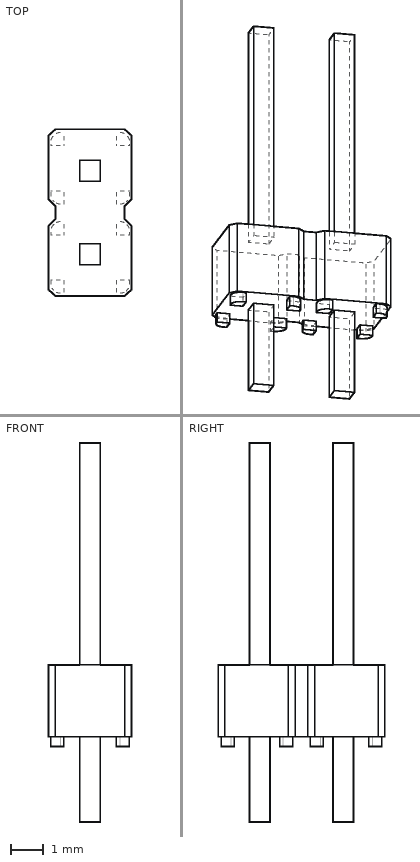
import cadquery as cq

pitch = 2.54
cell_count = 2
body_height = 2.2
chamfer = 0.22
corner_run = 0.2
notch_floor = 0.38

pin_side = 0.64
pin_length = 11.55
pin_tail = 2.6

foot_side = 0.4
foot_radius = 0.3
foot_height = 0.3
foot_reach_x = 1.2
end_foot_reach = 1.18
joint_foot_reach = 1.0

half_width = pitch / 2
half_length = cell_count * pitch / 2
joint_y = 0.0
pin_places = [-pitch / 2, pitch / 2]


def make_notch(side):
    """Trapezoidal groove at the cell joint, on the face at the given X side."""
    half_floor = notch_floor / 2
    half_mouth = half_floor + chamfer
    face_x = side * half_width
    floor_x = side * (half_width - chamfer)
    return (
        cq.Workplane("XY")
        .moveTo(face_x, joint_y - half_mouth)
        .lineTo(floor_x, joint_y - half_floor)
        .lineTo(floor_x, joint_y + half_floor)
        .lineTo(face_x, joint_y + half_mouth)
        .close()
        .extrude(body_height)
    )


def make_body():
    """Block standing on Z = 0 with chamfered corners and a notch on each side."""
    end_half_width = half_width - chamfer
    shoulder_y = half_length - corner_run
    block = (
        cq.Workplane("XY")
        .polyline(
            [
                (-end_half_width, -half_length),
                (end_half_width, -half_length),
                (half_width, -shoulder_y),
                (half_width, shoulder_y),
                (end_half_width, half_length),
                (-end_half_width, half_length),
                (-half_width, shoulder_y),
                (-half_width, -shoulder_y),
            ]
        )
        .close()
        .extrude(body_height)
    )
    for side in (-1, 1):
        block = block.cut(make_notch(side))
    return block


def make_pin(pin_y):
    """Square pin passing through the body."""
    return (
        cq.Workplane("XY", origin=(0, pin_y, -pin_tail))
        .rect(pin_side, pin_side)
        .extrude(pin_length)
    )


def make_foot(pin_y, x_side, y_side):
    """Foot in one quadrant of a cell, rounded at the corner facing away from the pin."""
    beside_joint = y_side * pin_y < 0
    y_reach = joint_foot_reach if beside_joint else end_foot_reach
    center_x = x_side * (foot_reach_x - foot_side / 2)
    center_y = pin_y + y_side * (y_reach - foot_side / 2)
    outward_corner = (">X" if x_side > 0 else "<X") + " and " + (">Y" if y_side > 0 else "<Y")
    return (
        cq.Workplane("XY", origin=(center_x, center_y, 0))
        .rect(foot_side, foot_side)
        .extrude(-foot_height)
        .edges("|Z and (" + outward_corner + ")")
        .fillet(foot_radius)
    )


result = make_body()
for place in pin_places:
    result = result.union(make_pin(place))
    for x_side in (-1, 1):
        for y_side in (-1, 1):
            result = result.union(make_foot(place, x_side, y_side))